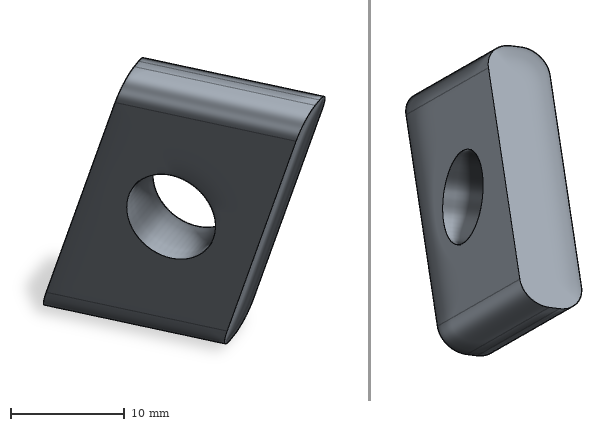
import cadquery as cq

length = 25.5
thickness = 6.0
height = 26.0

edge_length = 17.35
edge_radius = 2.5
hole_diameter = 8.5

half_length = length / 2
half_height = height / 2

outline = [
    (-half_length, -half_height),
    (-half_length + edge_length, -half_height),
    (half_length, half_height),
    (half_length - edge_length, half_height),
]
plate = cq.Workplane("XZ").polyline(outline).close().extrude(thickness / 2, both=True)

plate = plate.edges("|X").fillet(edge_radius)

result = plate.faces("<Y").workplane(origin=(0, 0, 0)).hole(hole_diameter)